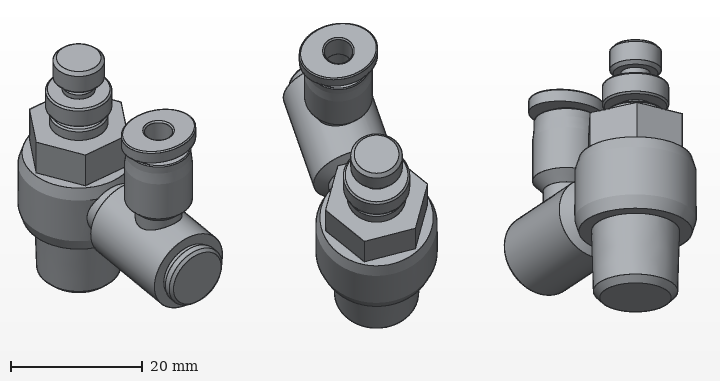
import cadquery as cq
import math

THREAD_TIP_R = 5.4
THREAD_LOW_R = 6.4
THREAD_TOP_R = 6.7
THREAD_TIP_H = 1.05
THREAD_H = 11.0

HEX_FLATS = 14.0
HEX_TOP_Z = 28.8

COLLAR_R = 4.45
COLLAR_TOP_Z = 30.73
STEM_R = 2.5
STEM_TOP_Z = 36.35
NUT_R = 5.05
NUT_BOTTOM_Z = 31.7
NUT_TOP_Z = 35.23
KNOB_NECK_R = 2.25
KNOB_R = 3.92
KNOB_BOTTOM_Z = 37.2
TOTAL_H = 41.3
EDGE_BEVEL = 0.3
KNOB_BEVEL = 0.55

RING_R = 9.2
RING_END_R = 8.6
RING_BEVEL_H = 2.0
RING_BOTTOM_Z = THREAD_H
RING_TOP_Z = 22.85
SHAFT_R = 4.5
SHAFT_SHOULDER_R = 4.7
SHAFT_FLANGE_R = 5.0
SHAFT_FLANGE_X = 28.35
SHAFT_BEVEL = 0.45
SHAFT_END_X = 29.78

BARREL_R = 6.5
BARREL_START_X = 10.45
BARREL_FULL_X = 11.55
BARREL_END_X = 27.55
SHAFT_Z = RING_BOTTOM_Z + BARREL_R

SOCKET_X = 20.05
SOCKET_NECK_R = 3.55
SOCKET_NECK_TOP_Z = 25.25
SOCKET_R = 5.15
SOCKET_LOW_Z = 26.9
SOCKET_TAPER_Z = 33.55
SOCKET_COLLAR_R = 4.95
SOCKET_COLLAR_Z = 35.45
SOCKET_TOP_Z = 36.92
SOCKET_BEVEL = 0.15
PASSAGE_R = 1.3

RELEASE_HALF_X = 4.9
RELEASE_HALF_Y = 6.05
RELEASE_BOTTOM_Z = 37.87
RELEASE_TOP_Z = 39.95
RELEASE_BEVEL = 0.2
RELEASE_NECK_R = 2.65
RELEASE_FLARE = 0.2
TUBE_BORE_R = 2.15
BORE_BEVEL = 0.25


def turned(points):
    """Solid of revolution about Z from (radius, height) points, closed along the axis."""
    closed = [(0, points[0][1])] + points + [(0, points[-1][1])]
    return cq.Workplane("XZ").polyline(closed).close().revolve(360, (0, 0, 0), (0, 1, 0))


def turned_on_shaft(points):
    """Solid of revolution about the shaft axis from (radius, x) points."""
    return turned(points).rotate((0, 0, 0), (0, 1, 0), 90).translate((0, 0, SHAFT_Z))


def turned_on_socket(points):
    """Solid of revolution about the upright socket axis."""
    return turned(points).translate((SOCKET_X, 0, 0))


def make_valve_body():
    lower = turned([
        (THREAD_TIP_R, 0),
        (THREAD_LOW_R, THREAD_TIP_H),
        (THREAD_TOP_R, THREAD_H),
        (THREAD_TOP_R, RING_TOP_Z),
    ])
    hexagon = (
        cq.Workplane("XY", origin=(0, 0, RING_TOP_Z))
        .polygon(6, HEX_FLATS / math.cos(math.pi / 6))
        .extrude(HEX_TOP_Z - RING_TOP_Z)
        .rotate((0, 0, 0), (0, 0, 1), 30)
    )
    upper = turned([
        (COLLAR_R, HEX_TOP_Z),
        (COLLAR_R, COLLAR_TOP_Z - EDGE_BEVEL),
        (COLLAR_R - EDGE_BEVEL, COLLAR_TOP_Z),
        (STEM_R, COLLAR_TOP_Z),
        (STEM_R, NUT_BOTTOM_Z),
        (NUT_R - EDGE_BEVEL, NUT_BOTTOM_Z),
        (NUT_R, NUT_BOTTOM_Z + EDGE_BEVEL),
        (NUT_R, NUT_TOP_Z - EDGE_BEVEL),
        (NUT_R - EDGE_BEVEL, NUT_TOP_Z),
        (STEM_R, NUT_TOP_Z),
        (STEM_R, STEM_TOP_Z - EDGE_BEVEL),
        (KNOB_NECK_R, STEM_TOP_Z),
        (KNOB_NECK_R, KNOB_BOTTOM_Z),
        (KNOB_R - KNOB_BEVEL, KNOB_BOTTOM_Z),
        (KNOB_R, KNOB_BOTTOM_Z + KNOB_BEVEL),
        (KNOB_R, TOTAL_H - KNOB_BEVEL),
        (KNOB_R - KNOB_BEVEL, TOTAL_H),
    ])
    return lower.union(hexagon).union(upper)


def make_swivel_ring():
    ring = turned([
        (RING_END_R, RING_BOTTOM_Z),
        (RING_R, RING_BOTTOM_Z + RING_BEVEL_H),
        (RING_R, RING_TOP_Z - RING_BEVEL_H),
        (RING_END_R, RING_TOP_Z),
    ])
    shaft = turned_on_shaft([
        (SHAFT_R, 0),
        (SHAFT_R, BARREL_END_X),
        (SHAFT_SHOULDER_R, BARREL_END_X),
        (SHAFT_SHOULDER_R, SHAFT_FLANGE_X),
        (SHAFT_FLANGE_R, SHAFT_FLANGE_X),
        (SHAFT_FLANGE_R, SHAFT_END_X - SHAFT_BEVEL),
        (SHAFT_FLANGE_R - SHAFT_BEVEL, SHAFT_END_X),
    ])
    bore = turned([(THREAD_TOP_R, RING_BOTTOM_Z), (THREAD_TOP_R, RING_TOP_Z)])
    return ring.union(shaft).cut(bore)


def make_elbow():
    barrel = turned_on_shaft([
        (SHAFT_R, BARREL_START_X),
        (BARREL_R, BARREL_FULL_X),
        (BARREL_R, BARREL_END_X),
    ])
    socket = turned_on_socket([
        (SOCKET_NECK_R, SHAFT_Z),
        (SOCKET_NECK_R, SOCKET_NECK_TOP_Z),
        (SOCKET_R, SOCKET_LOW_Z),
        (SOCKET_R, SOCKET_TAPER_Z),
        (SOCKET_COLLAR_R, SOCKET_COLLAR_Z),
        (SOCKET_COLLAR_R, SOCKET_TOP_Z - SOCKET_BEVEL),
        (SOCKET_COLLAR_R - SOCKET_BEVEL, SOCKET_TOP_Z),
    ])
    stepped_bore = turned_on_socket([
        (PASSAGE_R, SHAFT_Z),
        (PASSAGE_R, SOCKET_LOW_Z),
        (TUBE_BORE_R, SOCKET_LOW_Z),
        (TUBE_BORE_R, SOCKET_COLLAR_Z),
        (RELEASE_NECK_R, SOCKET_COLLAR_Z),
        (RELEASE_NECK_R, SOCKET_TOP_Z),
    ])
    shaft_bore = turned_on_shaft([(SHAFT_R, BARREL_START_X), (SHAFT_R, BARREL_END_X)])
    return barrel.union(socket).cut(stepped_bore).cut(shaft_bore)


def make_release_bushing():
    flange = (
        cq.Workplane("XY", origin=(SOCKET_X, 0, RELEASE_BOTTOM_Z))
        .ellipse(RELEASE_HALF_X, RELEASE_HALF_Y)
        .extrude(RELEASE_TOP_Z - RELEASE_BOTTOM_Z)
        .faces(">Z")
        .chamfer(RELEASE_BEVEL)
    )
    neck = turned_on_socket([
        (RELEASE_NECK_R, SOCKET_COLLAR_Z),
        (RELEASE_NECK_R, RELEASE_BOTTOM_Z - RELEASE_FLARE),
        (RELEASE_NECK_R + RELEASE_FLARE, RELEASE_BOTTOM_Z),
    ])
    tube_bore = turned_on_socket([
        (TUBE_BORE_R, SOCKET_COLLAR_Z),
        (TUBE_BORE_R, RELEASE_TOP_Z - BORE_BEVEL),
        (TUBE_BORE_R + BORE_BEVEL, RELEASE_TOP_Z),
    ])
    return flange.union(neck).cut(tube_bore)


valve_body = make_valve_body()
swivel_ring = make_swivel_ring()
elbow = make_elbow()
release_bushing = make_release_bushing()

result = cq.Compound.makeCompound([
    valve_body.solids().val(),
    swivel_ring.solids().val(),
    elbow.solids().val(),
    release_bushing.solids().val(),
])